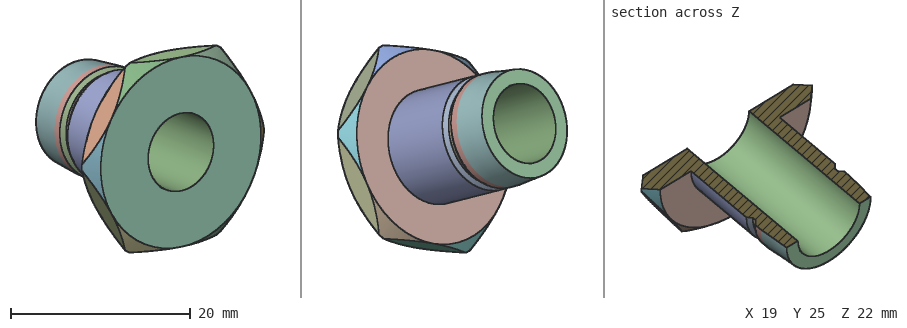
import cadquery as cq
import math

across_flats = 22.0
corner_diameter = 25.0
flange_thickness = 3.0

shank_length = 16.0
shank_radius = 6.5
bore_diameter = 9.0

nose_radius = 6.15
nose_length = 4.0
groove_start = 5.0
groove_depth = 0.5
groove_floor_width = 0.5

overall_length = shank_length + flange_thickness


def revolve_about_x(profile):
    """Revolve a closed (x, radius) profile about the X axis."""
    return cq.Workplane("XY").polyline(profile).close().revolve(360, (0, 0, 0), (1, 0, 0))


def make_flange():
    """Hexagon with corners on the Y axis, bevelled conically on both faces."""
    across_corners = across_flats / math.cos(math.radians(30))
    hexagon = (
        cq.Workplane("YZ", origin=(shank_length, 0, 0))
        .polygon(6, across_corners)
        .extrude(flange_thickness)
    )
    face_radius = across_flats / 2
    double_cone = revolve_about_x([
        (shank_length, 0),
        (shank_length, face_radius),
        (shank_length + flange_thickness / 2, corner_diameter / 2),
        (overall_length, face_radius),
        (overall_length, 0),
    ])
    return hexagon.intersect(double_cone)


def make_shank():
    """Solid shank with a tapered nose and a groove with 45 degree walls."""
    floor_radius = shank_radius - groove_depth
    floor_start = groove_start + groove_depth
    floor_end = floor_start + groove_floor_width
    groove_end = floor_end + groove_depth
    return revolve_about_x([
        (0, 0),
        (0, nose_radius),
        (nose_length, shank_radius),
        (groove_start, shank_radius),
        (floor_start, floor_radius),
        (floor_end, floor_radius),
        (groove_end, shank_radius),
        (shank_length, shank_radius),
        (shank_length, 0),
    ])


bore = cq.Workplane("YZ").circle(bore_diameter / 2).extrude(overall_length)
result = make_shank().union(make_flange()).cut(bore)